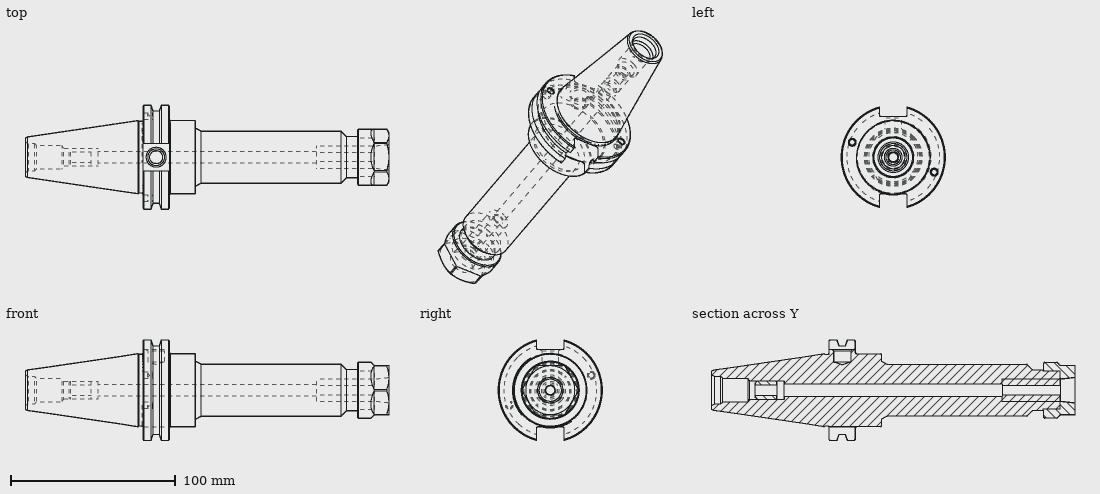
import cadquery as cq
import math


taper_end_x = 68.5
taper_large_dia = 44.5
taper_small_dia = 24.7
taper_tip_dia = 23.5
taper_chamfer_length = 1.0
relief_dia = 43.7
relief_start_x = 68.8
flange_start_x = 71.3
flange_width = 16.0
flange_dia = 63.3
flange_chamfer = 0.7
flange_root_fillet = 0.7
hub_end_x = 103.3
hub_dia = 44.5
hub_chamfer = 0.5
shank_shoulder_dia = 35.3
shank_start_x = 106.5
shank_end_x = 191.5
shank_dia = 31.8
neck_start_x = 194.8
neck_dia = 25.2
nose_dia = 23.5
nose_end_x = 211.8

flange_end_x = flange_start_x + flange_width
flange_mid_x = flange_start_x + flange_width / 2

groove_top_width = 6.2
groove_bottom_width = 3.8
groove_dia = 56.3

slot_width = 16.5
upper_slot_floor_z = 24.7
lower_slot_floor_depth = 22.3
slot_fillet = 0.9

slot_hole_rim_dia = 12.1
slot_hole_dia = 10.2
slot_hole_depth = 7.7
slot_hole_cone_dia = 8.0
slot_hole_cone_angle = 140

mouth_dia = 18.5
mouth_cone_length = 1.8
entry_dia = 16.5
entry_end_x = 5.5
thread_dia = 14.1
thread_cone_length = 1.3
thread_end_x = 22.0
screw_bore_dia = 10.8
screw_bore_cone_length = 1.0
screw_bore_end_x = 44.1
through_dia = 7.0
collet_seat_dia = 13.5
collet_seat_x = 176.5

stop_screw_start_x = 26.5
stop_screw_length = 13.2
stop_screw_tip_dia = 8.8
stop_screw_tip_length = 0.9
stop_screw_hole_dia = 6.2

coolant_circle_radius = 26.5
coolant_angle = 20
coolant_rim_dia = 4.9
coolant_hole_dia = 4.0
coolant_screw_depth = 2.9
coolant_screw_length = 2.9
coolant_socket_dia = 3.3
coolant_socket_cone_angle = 118

nut_start_x = 201.5
nut_end_x = 220.7
nut_dia = 34.2
nut_back_chamfer = 0.7
hex_sides = 6
hex_across_flats = 30.0
hex_start_x = 211.6
hex_runout_length = 2.0
nut_front_dia = 29.8
nut_front_chamfer_length = 1.3
nut_front_opening_dia = 15.5

collet_hole_dia = 5.5


def revolve_about_x(points):
    """Solid of revolution about the X axis from (x, radius) points."""
    return cq.Workplane("XY").polyline(points).close().revolve(360, (0, 0, 0), (1, 0, 0))


def rod(start_x, end_x, dia):
    """Cylinder on the X axis."""
    return cq.Workplane("YZ", origin=(start_x, 0, 0)).circle(dia / 2).extrude(end_x - start_x)


def flange_root(face_x, root_dia, side):
    """Ring that rounds the corner between a flange face and the cylinder beside it.

    side is -1 for the face toward the taper and 1 for the face toward the hub.
    """
    fillet = flange_root_fillet
    inner_r = root_dia / 2
    arc_offset = fillet * (1 - math.sqrt(0.5))
    profile = (
        cq.Workplane("XY")
        .moveTo(face_x, inner_r - fillet)
        .lineTo(face_x, inner_r + fillet)
        .threePointArc(
            (face_x + side * arc_offset, inner_r + arc_offset),
            (face_x + side * fillet, inner_r),
        )
        .lineTo(face_x + side * fillet, inner_r - fillet)
        .close()
    )
    return profile.revolve(360, (0, 0, 0), (1, 0, 0))


def arbor_blank():
    shoulder_r = shank_shoulder_dia / 2
    blank = revolve_about_x([
        (0, 0),
        (0, taper_tip_dia / 2),
        (taper_chamfer_length, taper_small_dia / 2),
        (taper_end_x, taper_large_dia / 2),
        (relief_start_x, relief_dia / 2),
        (flange_start_x, relief_dia / 2),
        (flange_start_x, flange_dia / 2 - flange_chamfer),
        (flange_start_x + flange_chamfer, flange_dia / 2),
        (flange_mid_x - groove_top_width / 2, flange_dia / 2),
        (flange_mid_x - groove_bottom_width / 2, groove_dia / 2),
        (flange_mid_x + groove_bottom_width / 2, groove_dia / 2),
        (flange_mid_x + groove_top_width / 2, flange_dia / 2),
        (flange_end_x - flange_chamfer, flange_dia / 2),
        (flange_end_x, flange_dia / 2 - flange_chamfer),
        (flange_end_x, hub_dia / 2),
        (hub_end_x - hub_chamfer, hub_dia / 2),
        (hub_end_x, hub_dia / 2 - hub_chamfer),
        (hub_end_x, shoulder_r),
        (shank_start_x, shank_dia / 2),
        (shank_end_x, shank_dia / 2),
        (neck_start_x, neck_dia / 2),
        (nut_start_x, neck_dia / 2),
        (nut_start_x, nose_dia / 2),
        (nose_end_x, nose_dia / 2),
        (nose_end_x, 0),
    ])
    taper_root = flange_root(flange_start_x, relief_dia, -1)
    hub_root = flange_root(flange_end_x, hub_dia, 1)
    return blank.union(taper_root).union(hub_root)


def arbor_bore():
    return revolve_about_x([
        (0, 0),
        (0, mouth_dia / 2),
        (mouth_cone_length, entry_dia / 2),
        (entry_end_x, entry_dia / 2),
        (entry_end_x + thread_cone_length, thread_dia / 2),
        (thread_end_x, thread_dia / 2),
        (thread_end_x + screw_bore_cone_length, screw_bore_dia / 2),
        (screw_bore_end_x, screw_bore_dia / 2),
        (screw_bore_end_x, through_dia / 2),
        (collet_seat_x, through_dia / 2),
        (collet_seat_x, collet_seat_dia / 2),
        (nose_end_x, collet_seat_dia / 2),
        (nose_end_x, 0),
    ])


def drive_slot(floor_z):
    """Cutter for a slot that opens upward from floor_z, rounded along its floor."""
    slot = cq.Workplane("XY").box(flange_width, slot_width, flange_dia, centered=(False, True, False))
    return slot.edges("|X and <Z").fillet(slot_fillet).translate((flange_start_x, 0, floor_z))


def drive_slots():
    upper = drive_slot(upper_slot_floor_z)
    lower = drive_slot(lower_slot_floor_depth).rotate((0, 0, 0), (1, 0, 0), 180)
    return upper.union(lower)


def slot_hole():
    rim_r = slot_hole_rim_dia / 2
    hole_r = slot_hole_dia / 2
    cone_r = slot_hole_cone_dia / 2
    cone_depth = cone_r / math.tan(math.radians(slot_hole_cone_angle / 2))
    profile = [
        (0, 0),
        (rim_r, 0),
        (hole_r, hole_r - rim_r),
        (hole_r, -slot_hole_depth),
        (cone_r, -slot_hole_depth),
        (0, -slot_hole_depth - cone_depth),
    ]
    hole = cq.Workplane("XZ").polyline(profile).close().revolve(360, (0, 0, 0), (0, 1, 0))
    return hole.translate((flange_mid_x, 0, upper_slot_floor_z))


def coolant_places():
    """(y, z) centres of the two coolant holes, half a turn apart."""
    angles = [math.radians(coolant_angle + turn) for turn in (0, 180)]
    return [(coolant_circle_radius * math.cos(a), coolant_circle_radius * math.sin(a)) for a in angles]


def coolant_hole():
    """Countersunk hole on the X axis that holds one coolant screw."""
    rim_r = coolant_rim_dia / 2
    hole_r = coolant_hole_dia / 2
    end_x = flange_start_x + coolant_screw_depth + coolant_screw_length
    return revolve_about_x([
        (flange_start_x, 0),
        (flange_start_x, rim_r),
        (flange_start_x + rim_r - hole_r, hole_r),
        (end_x, hole_r),
        (end_x, 0),
    ])


def make_arbor():
    arbor = arbor_blank().cut(arbor_bore()).cut(drive_slots()).cut(slot_hole())
    for y, z in coolant_places():
        arbor = arbor.cut(coolant_hole().translate((0, y, z)))
    return arbor


def make_coolant_screw(y, z):
    """Screw with a conical recess in its outer end."""
    socket_r = coolant_socket_dia / 2
    start_x = flange_start_x + coolant_screw_depth
    end_x = start_x + coolant_screw_length
    cone_depth = socket_r / math.tan(math.radians(coolant_socket_cone_angle / 2))
    screw = revolve_about_x([
        (start_x + cone_depth, 0),
        (start_x, socket_r),
        (start_x, coolant_hole_dia / 2),
        (end_x, coolant_hole_dia / 2),
        (end_x, 0),
    ])
    return screw.translate((0, y, z))


def make_stop_screw():
    end_x = stop_screw_start_x + stop_screw_length
    return revolve_about_x([
        (stop_screw_start_x, stop_screw_hole_dia / 2),
        (stop_screw_start_x, stop_screw_tip_dia / 2),
        (stop_screw_start_x + stop_screw_tip_length, screw_bore_dia / 2),
        (end_x, screw_bore_dia / 2),
        (end_x, stop_screw_hole_dia / 2),
    ])


def hex_flat_cutter():
    """Material above one flat, with a slope where the flat runs out into the collar."""
    flat_r = hex_across_flats / 2
    slope_rise = nut_dia / 2 - flat_r
    return (
        cq.Workplane("XZ")
        .polyline([
            (hex_start_x, flat_r),
            (hex_start_x - hex_runout_length, flat_r + slope_rise),
            (nut_end_x, flat_r + slope_rise),
            (nut_end_x, flat_r),
        ])
        .close()
        .extrude(nut_dia / 2, both=True)
    )


def make_nut():
    nut = revolve_about_x([
        (nut_start_x, nose_dia / 2),
        (nut_start_x, nut_dia / 2 - nut_back_chamfer),
        (nut_start_x + nut_back_chamfer, nut_dia / 2),
        (nut_end_x - nut_front_chamfer_length, nut_dia / 2),
        (nut_end_x, nut_front_dia / 2),
        (nut_end_x, nut_front_opening_dia / 2),
        (nose_end_x, collet_seat_dia / 2),
        (nose_end_x, nose_dia / 2),
    ])
    for side in range(hex_sides):
        nut = nut.cut(hex_flat_cutter().rotate((0, 0, 0), (1, 0, 0), side * 360 / hex_sides))
    return nut


def make_collet():
    hole = rod(collet_seat_x, nose_end_x, collet_hole_dia)
    return rod(collet_seat_x, nose_end_x, collet_seat_dia).cut(hole)


arbor = make_arbor()
nut = make_nut()
collet = make_collet()
stop_screw = make_stop_screw()
coolant_screws = [make_coolant_screw(y, z).val() for y, z in coolant_places()]

result = cq.Compound.makeCompound([arbor.val(), nut.val(), collet.val(), stop_screw.val(), *coolant_screws])